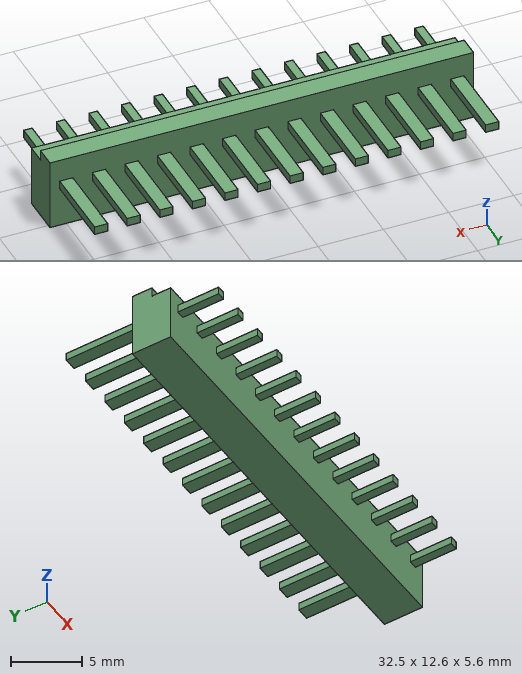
import cadquery as cq

pin_count = 13
housing_length = 32.5
pitch = housing_length / pin_count
housing_depth = 3.2
housing_height = 5.6
rail_depth = 1.62
rail_height = 0.8

pin_thickness = 0.65
pin_axis_height = 3.48
tail_width = 0.65
tail_length = 3.4
blade_width = 1.0
blade_length = 6.0


def make_housing():
    """Stepped profile in the YZ plane, extruded along X and centred on it."""
    shoulder_height = housing_height - rail_height
    rail_front = housing_depth - rail_depth
    return (
        cq.Workplane("YZ")
        .moveTo(0, 0)
        .lineTo(housing_depth, 0)
        .lineTo(housing_depth, housing_height)
        .lineTo(rail_front, housing_height)
        .lineTo(rail_front, shoulder_height)
        .lineTo(0, shoulder_height)
        .close()
        .extrude(housing_length / 2, both=True)
    )


def make_pin_row(width, length, start_y):
    """Row of flat pins running from start_y toward +Y, one in each pitch cell."""
    return (
        cq.Workplane("XY", origin=(0, start_y, pin_axis_height))
        .rarray(pitch, 0.32, pin_count, 1)
        .box(width, length, pin_thickness, centered=(True, False, True))
    )


tails = make_pin_row(tail_width, tail_length, -tail_length)
blades = make_pin_row(blade_width, blade_length, housing_depth)

result = make_housing().union(tails).union(blades)